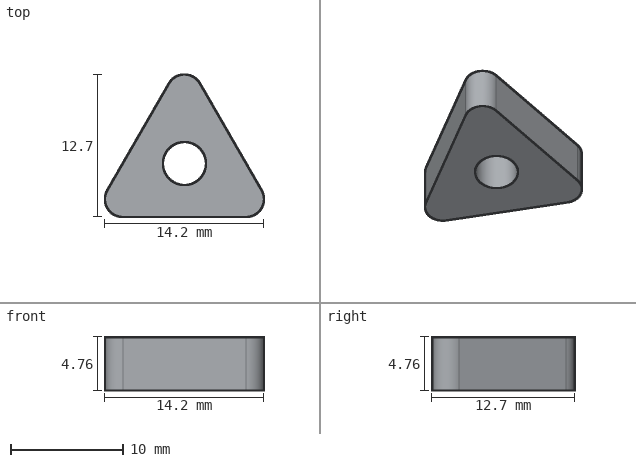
import cadquery as cq
import math

overall_width = 14.17
thickness = 4.76
corner_radius = 1.6
hole_diameter = 3.81

corner_spacing = overall_width - 2 * corner_radius
corner_circumdiameter = 2 * corner_spacing / math.sqrt(3)

body = (
    cq.Workplane("XY")
    .transformed(rotate=(0, 0, 90))
    .polygon(3, corner_circumdiameter)
    .offset2D(corner_radius, "arc")
    .extrude(thickness)
)

hole = cq.Workplane("XY").circle(hole_diameter / 2).extrude(thickness)

result = body.cut(hole)